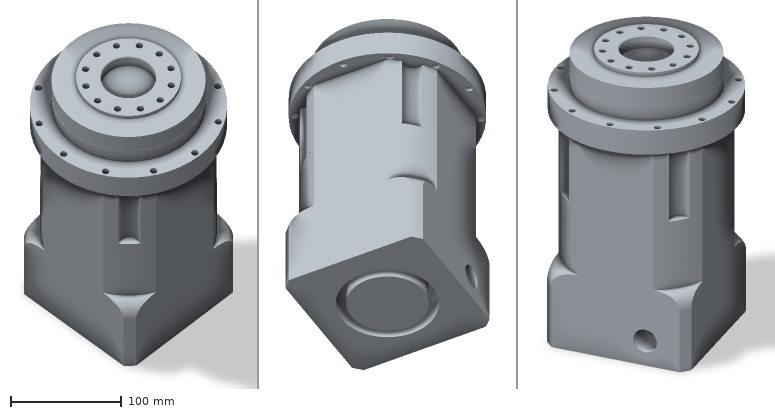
import cadquery as cq
import math

TOTAL_HEIGHT = 284.0
ADAPTER_HEIGHT = 95.7
RING_TOP = 147.5
FLANGE_BOTTOM = 222.0
FLANGE_TOP = 246.8
PILOT_TOP = 262.0
SHOULDER_TOP = 280.0

BODY_SIDE = 142.0
BODY_CORNER_DIAMETER = 160.2

BLOCK_CORNER_DIAMETER = 189.7
BLOCK_CORNER_TOP = 63.5
ADAPTER_BORE_DIAMETER = 93.7
HUB_DIAMETER = 74.7
ACCESS_HOLE_DIAMETER = 23.0
ACCESS_HOLE_Y = -29.0
ACCESS_HOLE_Z = 25.0

FLANGE_DIAMETER = 179.0
PILOT_DIAMETER = 140.0
SHOULDER_DIAMETER = 139.7
OUTPUT_DIAMETER = 95.0
GROOVE_CIRCLE_DIAMETER = 164.2
GROOVE_RADIUS = 10.2
GROOVE_COUNT = 4

BOLT_COUNT = 12
FLANGE_BOLT_CIRCLE = 168.0
FLANGE_HOLE_DIAMETER = 6.8
OUTPUT_BOLT_CIRCLE = 80.0
OUTPUT_HOLE_DIAMETER = 6.8
OUTPUT_HOLE_DEPTH = 17.0
DRILL_POINT_ANGLE = 118.0

OUTPUT_BORE_DIAMETER = 50.0
OUTPUT_BORE_DEPTH = 12.5
OUTPUT_BORE_CHAMFER = 0.9


def cylinder(diameter, bottom, top):
    """Upright cylinder on the gearbox axis."""
    return cq.Workplane("XY").workplane(offset=bottom).circle(diameter / 2).extrude(top - bottom)


def square_bar(bottom, top):
    """Upright square bar with sharp corners."""
    return cq.Workplane("XY").workplane(offset=bottom).rect(BODY_SIDE, BODY_SIDE).extrude(top - bottom)


def rounded_section(bottom, top):
    """Length of the shared square section with its rounded corners."""
    return square_bar(bottom, top).intersect(cylinder(BODY_CORNER_DIAMETER, bottom, top))


def make_adapter():
    """Square motor adapter whose corners curve in to the rounded section above."""
    neck_radius = BODY_CORNER_DIAMETER / 2
    block_radius = BLOCK_CORNER_DIAMETER / 2
    shoulder_radius = block_radius - neck_radius
    arc_middle_offset = shoulder_radius * math.sin(math.radians(45))
    turned_blank = (
        cq.Workplane("XZ")
        .lineTo(block_radius, 0)
        .lineTo(block_radius, BLOCK_CORNER_TOP)
        .threePointArc(
            (neck_radius + arc_middle_offset, BLOCK_CORNER_TOP + arc_middle_offset),
            (neck_radius, BLOCK_CORNER_TOP + shoulder_radius),
        )
        .lineTo(neck_radius, ADAPTER_HEIGHT)
        .lineTo(0, ADAPTER_HEIGHT)
        .close()
        .revolve(360, (0, 0, 0), (0, 1, 0))
    )
    access_hole = (
        cq.Workplane("YZ", origin=(-BODY_SIDE / 2, 0, 0))
        .center(ACCESS_HOLE_Y, ACCESS_HOLE_Z)
        .circle(ACCESS_HOLE_DIAMETER / 2)
        .extrude(BODY_SIDE / 2)
    )
    return (
        square_bar(0, ADAPTER_HEIGHT)
        .intersect(turned_blank)
        .cut(cylinder(ADAPTER_BORE_DIAMETER, 0, ADAPTER_HEIGHT))
        .cut(access_hole)
    )


def make_hub():
    """Clamping hub standing clear inside the adapter bore."""
    return cylinder(HUB_DIAMETER, 0, ADAPTER_HEIGHT)


def make_ring():
    """Plain ring-gear section between the adapter and the housing."""
    return rounded_section(ADAPTER_HEIGHT, RING_TOP)


def corner_grooves():
    """Upright round grooves in the housing corners, for reaching the mounting screws."""
    return (
        cq.Workplane("XY")
        .workplane(offset=RING_TOP)
        .polarArray(GROOVE_CIRCLE_DIAMETER / 2, 45, 360, GROOVE_COUNT)
        .circle(GROOVE_RADIUS)
        .extrude(FLANGE_BOTTOM - RING_TOP)
    )


def flange_holes():
    """Mounting holes through the flange."""
    return (
        cq.Workplane("XY")
        .workplane(offset=FLANGE_BOTTOM)
        .polarArray(FLANGE_BOLT_CIRCLE / 2, 0, 360, BOLT_COUNT)
        .circle(FLANGE_HOLE_DIAMETER / 2)
        .extrude(FLANGE_TOP - FLANGE_BOTTOM)
    )


def output_holes():
    """Blind holes in the output face, each ending in a drill point."""
    radius = OUTPUT_HOLE_DIAMETER / 2
    point_depth = radius / math.tan(math.radians(DRILL_POINT_ANGLE / 2))
    drill = (
        cq.Workplane("XZ")
        .lineTo(radius, 0)
        .lineTo(radius, -OUTPUT_HOLE_DEPTH)
        .lineTo(0, -OUTPUT_HOLE_DEPTH - point_depth)
        .close()
        .revolve(360, (0, 0, 0), (0, 1, 0))
        .val()
    )
    return (
        cq.Workplane("XY")
        .workplane(offset=TOTAL_HEIGHT)
        .polarArray(OUTPUT_BOLT_CIRCLE / 2, 0, 360, BOLT_COUNT)
        .eachpoint(lambda place: drill.moved(place))
    )


def output_bore():
    """Blind centring bore with a chamfered rim."""
    radius = OUTPUT_BORE_DIAMETER / 2
    floor = TOTAL_HEIGHT - OUTPUT_BORE_DEPTH
    return (
        cq.Workplane("XZ")
        .moveTo(0, floor)
        .lineTo(radius, floor)
        .lineTo(radius, TOTAL_HEIGHT - OUTPUT_BORE_CHAMFER)
        .lineTo(radius + OUTPUT_BORE_CHAMFER, TOTAL_HEIGHT)
        .lineTo(0, TOTAL_HEIGHT)
        .close()
        .revolve(360, (0, 0, 0), (0, 1, 0))
    )


def make_housing():
    """Output housing: grooved square section, mounting flange, pilot and output face."""
    return (
        rounded_section(RING_TOP, FLANGE_BOTTOM)
        .cut(corner_grooves())
        .union(cylinder(FLANGE_DIAMETER, FLANGE_BOTTOM, FLANGE_TOP))
        .union(cylinder(PILOT_DIAMETER, FLANGE_TOP, PILOT_TOP))
        .union(cylinder(SHOULDER_DIAMETER, PILOT_TOP, SHOULDER_TOP))
        .union(cylinder(OUTPUT_DIAMETER, SHOULDER_TOP, TOTAL_HEIGHT))
        .cut(flange_holes())
        .cut(output_holes())
        .cut(output_bore())
    )


adapter = make_adapter()
hub = make_hub()
ring = make_ring()
housing = make_housing()

result = cq.Compound.makeCompound([adapter.val(), hub.val(), ring.val(), housing.val()])